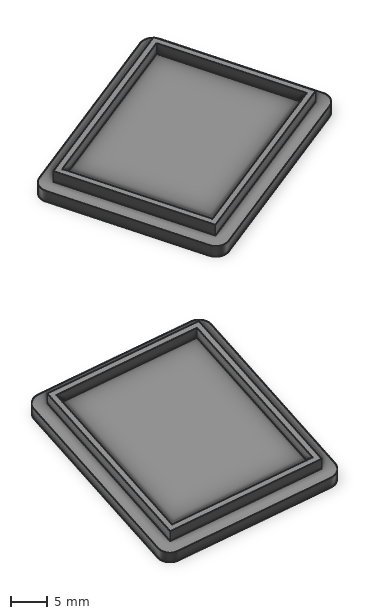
import cadquery as cq

plate_width = 29.0
plate_length = 35.0
plate_thickness = 2.0
corner_radius = 2.0

rim_inset = 2.1
rim_wall = 0.9
rim_height = 2.0

rim_width = plate_width - 2 * rim_inset
rim_length = plate_length - 2 * rim_inset


def make_plate():
    """Flat plate with rounded vertical corners."""
    plate = cq.Workplane("XY").box(
        plate_width, plate_length, plate_thickness, centered=(True, True, False)
    )
    return plate.edges("|Z").fillet(corner_radius)


def make_rim():
    """Square-cornered frame on the top face of the plate."""
    return (
        cq.Workplane("XY")
        .workplane(offset=plate_thickness)
        .rect(rim_width, rim_length)
        .rect(rim_width - 2 * rim_wall, rim_length - 2 * rim_wall)
        .extrude(rim_height)
    )


result = make_plate().union(make_rim())